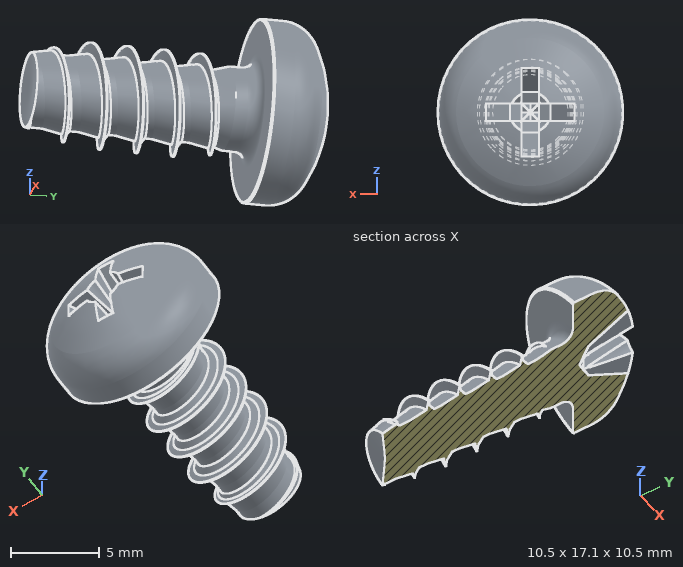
import cadquery as cq
import math


head_radius = 10.5 / 2
head_rim_height = 1.28
head_corner_radius = 2.06
head_shoulder_radius = 4.19
head_apex_height = 4.2
head_edge_chamfer = 0.08

recess_wing_width = 1.0
recess_span = 5.4
recess_bottom_span = 2.3
recess_wall_angle = 26.5
recess_tip_angle = 28.0
recess_core_radius = 1.16
recess_core_bottom_radius = 0.75

shank_length = 13.0
neck_radius = 2.4
neck_fillet = 0.8
neck_length = 1.5
core_radius = 2.13
core_start = 2.42
tip_rim = 0.14
tip_taper_start = 12.15
tip_taper_radius = 2.36
tip_dish_depth = 0.2

pitch = 2.13
crest_radius = 3.0
crest_width = 0.06
first_full_crest = 3.39
full_turns = 3
lead_in_turns = 1.25
lead_out_turns = 1.25
tail_turns = 1.0
thread_start_radius = 2.38
thread_end_radius = 2.36
first_full_angle = 90.0
root_radius = 1.6
rear_toe = 0.45
rear_knee = 0.10
rear_knee_rise = 0.42
front_toe = 0.15
collar_radius = 2.34
collar_length = 1.29
collar_overrun = 0.27
thread_zone_margin = 1.5
points_per_turn = 24


def make_head():
    """Head revolved from the axis, with a domed top above a rounded shoulder."""
    corner_centre_r = head_radius - head_corner_radius
    shoulder_reach = head_shoulder_radius - corner_centre_r
    shoulder_rise = math.sqrt(head_corner_radius**2 - shoulder_reach**2)
    shoulder_height = head_rim_height + shoulder_rise
    corner_mid = head_corner_radius * math.sqrt(0.5)
    dome_drop = head_apex_height - shoulder_height
    dome_radius = (head_shoulder_radius**2 + dome_drop**2) / (2 * dome_drop)
    dome_mid_r = head_shoulder_radius / 2
    dome_mid_drop = dome_radius - math.sqrt(dome_radius**2 - dome_mid_r**2)
    profile = (
        cq.Workplane("XZ")
        .lineTo(head_radius - head_edge_chamfer, 0)
        .lineTo(head_radius, -head_edge_chamfer)
        .lineTo(head_radius, -head_rim_height)
        .threePointArc(
            (corner_centre_r + corner_mid, -head_rim_height - corner_mid),
            (head_shoulder_radius, -shoulder_height),
        )
        .threePointArc((dome_mid_r, dome_mid_drop - head_apex_height), (0, -head_apex_height))
        .close()
    )
    return profile.revolve(360, (0, 0, 0), (0, 1, 0))


def make_recess():
    """Four tapering wings around a conical core, sunk from the top of the head."""
    top_z = -head_apex_height
    top_half = recess_span / 2
    bottom_half = recess_bottom_span / 2
    wing_depth = (top_half - bottom_half) / math.tan(math.radians(recess_wall_angle))
    tip_depth = wing_depth + bottom_half * math.tan(math.radians(recess_tip_angle))
    wing = (
        cq.Workplane("XZ")
        .polyline([
            (-top_half, top_z),
            (top_half, top_z),
            (bottom_half, top_z + wing_depth),
            (0, top_z + tip_depth),
            (-bottom_half, top_z + wing_depth),
        ])
        .close()
        .extrude(recess_wing_width / 2, both=True)
    )
    core = (
        cq.Workplane("XZ")
        .polyline([
            (0, top_z),
            (recess_core_radius, top_z),
            (recess_core_bottom_radius, top_z + wing_depth),
            (0, top_z + wing_depth),
        ])
        .close()
        .revolve(360, (0, 0, 0), (0, 1, 0))
    )
    return wing.union(wing.rotate((0, 0, 0), (0, 0, 1), 90)).union(core)


def make_shank():
    """Filleted neck, cone down to the thread core, and core running to a flat tip."""
    fillet_mid = neck_fillet * (1 - math.sqrt(0.5))
    profile = (
        cq.Workplane("XZ")
        .lineTo(neck_radius + neck_fillet, 0)
        .threePointArc((neck_radius + fillet_mid, fillet_mid), (neck_radius, neck_fillet))
        .lineTo(neck_radius, neck_length)
        .lineTo(core_radius, core_start)
        .lineTo(core_radius, shank_length)
        .lineTo(0, shank_length)
        .close()
    )
    return profile.revolve(360, (0, 0, 0), (0, 1, 0))


def make_tip_dish():
    """Shallow cone sunk into the tip, leaving a narrow flat rim."""
    profile = (
        cq.Workplane("XZ")
        .moveTo(0, shank_length)
        .lineTo(core_radius - tip_rim, shank_length)
        .lineTo(0, shank_length - tip_dish_depth)
        .close()
    )
    return profile.revolve(360, (0, 0, 0), (0, 1, 0))


def thread_section(tip_radius):
    """Thread outline as (radius, offset along the axis) corners for a given crest radius.

    The rear ramp and crest shrink with the crest height. The collar ahead of the crest is a
    constant shallow taper that runs on into the core so that the two blend cleanly.
    """
    collar_sink = collar_overrun * (collar_radius - core_radius) / (collar_length - front_toe)
    growth = (tip_radius - core_radius) / (crest_radius - core_radius)
    half_crest = crest_width / 2 * growth
    return [
        (root_radius, -rear_toe * growth),
        (core_radius - collar_sink, -rear_toe * growth),
        (core_radius + rear_knee_rise * growth, -rear_knee * growth),
        (tip_radius, -half_crest),
        (tip_radius, half_crest),
        (collar_radius, front_toe),
        (core_radius - collar_sink, collar_length + collar_overrun),
        (root_radius, collar_length + collar_overrun),
    ]


def helix_point(radius, offset, turn):
    """Point on the thread, counted in turns from the first full-height crest."""
    angle = math.radians(first_full_angle) + 2 * math.pi * turn
    z = first_full_crest + pitch * turn + offset
    return cq.Vector(radius * math.cos(angle), radius * math.sin(angle), z)


def helix_edge(start_corner, end_corner, start_turn, end_turn):
    """Helical edge of one section corner that moves evenly along the stretch."""
    steps = math.ceil((end_turn - start_turn) * points_per_turn)
    points = []
    for step in range(steps + 1):
        share = step / steps
        radius = start_corner[0] + (end_corner[0] - start_corner[0]) * share
        turn = start_turn + (end_turn - start_turn) * share
        offset = start_corner[1] + (end_corner[1] - start_corner[1]) * share
        points.append(helix_point(radius, offset, turn))
    return cq.Edge.makeSpline(points)


def section_cap(section, turn):
    """Flat face closing the thread at one end."""
    corners = [helix_point(radius, offset, turn) for radius, offset in section]
    return cq.Face.makeFromWires(cq.Wire.makePolygon(corners, close=True))


def make_thread_zone():
    """Space the thread may fill: below the neck, and inside a taper that ends at the tip."""
    outer_radius = crest_radius + thread_zone_margin
    profile = (
        cq.Workplane("XZ")
        .moveTo(0, neck_length)
        .lineTo(outer_radius, neck_length)
        .lineTo(outer_radius, tip_taper_start)
        .lineTo(tip_taper_radius, tip_taper_start)
        .lineTo(core_radius, shank_length)
        .lineTo(0, shank_length)
        .close()
    )
    return profile.revolve(360, (0, 0, 0), (0, 1, 0))


def make_thread():
    """Single right-hand thread that rises from the neck and fades out towards the tip."""
    stations = [
        (-lead_in_turns, thread_start_radius),
        (0, crest_radius),
        (full_turns, crest_radius),
        (full_turns + lead_out_turns, thread_end_radius),
        (full_turns + lead_out_turns + tail_turns, thread_end_radius),
    ]
    faces = []
    for (start_turn, start_radius), (end_turn, end_radius) in zip(stations, stations[1:]):
        corner_pairs = zip(thread_section(start_radius), thread_section(end_radius))
        edges = [helix_edge(a, b, start_turn, end_turn) for a, b in corner_pairs]
        for edge, next_edge in zip(edges, edges[1:] + edges[:1]):
            faces.append(cq.Face.makeRuledSurface(edge, next_edge))
    for turn, radius in (stations[0], stations[-1]):
        faces.append(section_cap(thread_section(radius), turn))
    thread = cq.Solid.makeSolid(cq.Shell.makeShell(faces))
    return make_thread_zone().intersect(cq.Workplane(thread))


screw = make_head().cut(make_recess()).union(make_shank()).union(make_thread()).cut(make_tip_dish())
result = screw.rotate((0, 0, 0), (1, 0, 0), 90)